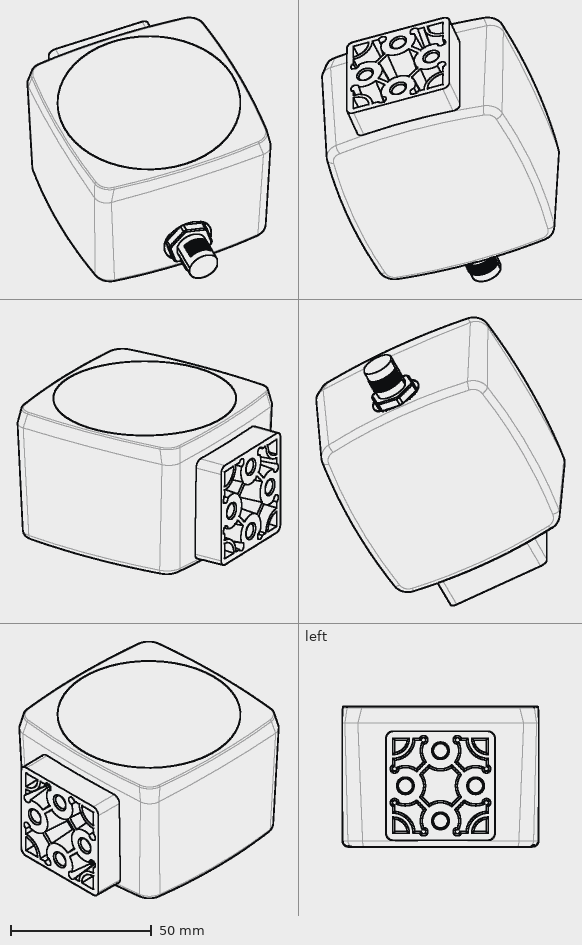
import cadquery as cq
import math

HEIGHT = 50.0
PARTING_Z = 44.1
BASE_LEVEL = (34.9, 2.0, 27.7)
PARTING_LEVEL = (35.0, 0.9, 29.5)
TOP_LEVEL = (34.8, 1.6, 27.95)
BASE_FILLET = 2.3
TOP_FILLET = 0.6

DISC_RADIUS = 32.55
GROOVE_SIZE = 0.1

PAD_FACE_X = -45.0
PAD_SIZE = 38.6
PAD_CORNER_RADIUS = 2.5
PAD_CENTER_Z = 21.8
PAD_ROOT_X = -31.9
PAD_DRAFT = 0.5

POCKET_DEPTH = 10.3
POCKET_DRAFT = 3.9
POCKET_HALF = 16.9
BOLT_OFFSET = 12.5
BOLT_BOSS_RADIUS = 6.5
BOLT_HOLE_RADIUS = 2.5
BOLT_CHAMFER = 0.6
CENTER_HALF = 8.1
DIAGONAL_RIB = 1.5
CORNER_POCKET_RADIUS = 5.8
CORNER_RIB = 1.3
RELIEF_RADIUS = 1.5
RELIEF_ALONG = 6.0
RELIEF_ACROSS = 16.3

CONNECTOR_Z = 12.6
SEAT_X = 34.4
SEAT_RADIUS = 9.1
NUT_END_X = 37.6
NUT_CORNER_RADIUS = 8.4
NUT_ACROSS_FLATS = 15.2
NUT_CHAMFER = 0.5
NUT_TURN = 15.0
PLUG_END_X = 48.8
PLUG_RADIUS = 5.5
PLUG_ACROSS_FLATS = 10.7
ANCHOR_X = 31.9

THREAD_PITCH = 1.0
THREAD_RADIUS = 5.9
THREAD_SINK = 0.4
THREAD_BASE = 0.75
THREAD_CREST = 0.4
THREAD_SEGMENTS = ((90, 43, 40.7, 6), (270, 69, 41.0, 5))


def barrel_outline(z, level):
    """Closed outline of four bowed sides joined by tangent corner arcs."""
    half, sag, end = level
    bow_radius = (end**2 + sag**2) / (2 * sag)
    slope = math.asin(end / bow_radius)
    side = half - sag
    corner_radius = (side - end) / (math.cos(slope) - math.sin(slope))
    corner_center = end - corner_radius * math.sin(slope)
    corner = corner_center + corner_radius * math.sqrt(0.5)
    outline = cq.Workplane("XY", origin=(0, 0, z)).moveTo(-end, -side)
    outline = outline.threePointArc((0, -half), (end, -side))
    outline = outline.threePointArc((corner, -corner), (side, -end))
    outline = outline.threePointArc((half, 0), (side, end))
    outline = outline.threePointArc((corner, corner), (end, side))
    outline = outline.threePointArc((0, half), (-end, side))
    outline = outline.threePointArc((-corner, corner), (-side, end))
    outline = outline.threePointArc((-half, 0), (-side, -end))
    outline = outline.threePointArc((-corner, -corner), (-end, -side)).close()
    return outline.val()


def tapered_shell(lower_z, lower_level, upper_z, upper_level):
    wires = [barrel_outline(lower_z, lower_level), barrel_outline(upper_z, upper_level)]
    return cq.Workplane(obj=cq.Solid.makeLoft(wires, True))


def make_housing():
    lower = tapered_shell(0, BASE_LEVEL, PARTING_Z, PARTING_LEVEL)
    lower = lower.faces("<Z").edges().fillet(BASE_FILLET)
    lid = tapered_shell(PARTING_Z, PARTING_LEVEL, HEIGHT, TOP_LEVEL)
    lid = lid.faces(">Z").edges().fillet(TOP_FILLET)
    groove = (
        cq.Workplane("XY", origin=(0, 0, HEIGHT - GROOVE_SIZE))
        .circle(DISC_RADIUS)
        .circle(DISC_RADIUS - GROOVE_SIZE)
        .extrude(GROOVE_SIZE)
    )
    return lower.union(lid).cut(groove)


def pad_plane():
    """Plane on the pad face: local x is +Y, local y is +Z, extrusion runs along +X."""
    return cq.Workplane("YZ", origin=(PAD_FACE_X, 0, PAD_CENTER_Z))


def drafted_square(half, turn, draft):
    """Square body one pocket deep; a positive draft narrows it towards the pocket floor."""
    square = cq.Sketch().rect(2 * half, 2 * half, angle=turn)
    return pad_plane().placeSketch(square).extrude(POCKET_DEPTH, taper=draft)


def drafted_rounds(points, radius, draft):
    """Round bodies one pocket deep; a positive draft narrows them towards the pocket floor."""
    return pad_plane().pushPoints(points).circle(radius).extrude(POCKET_DEPTH, taper=draft)


def make_pad():
    outline = cq.Sketch().rect(PAD_SIZE, PAD_SIZE).vertices().fillet(PAD_CORNER_RADIUS)
    return pad_plane().placeSketch(outline).extrude(PAD_ROOT_X - PAD_FACE_X, taper=-PAD_DRAFT)


def make_pad_pockets():
    bolts = [(BOLT_OFFSET, 0), (0, BOLT_OFFSET), (-BOLT_OFFSET, 0), (0, -BOLT_OFFSET)]
    signs = [(1, 1), (-1, 1), (-1, -1), (1, -1)]
    corners = [(POCKET_HALF * i, POCKET_HALF * j) for i, j in signs]
    reliefs = [(RELIEF_ALONG * i, RELIEF_ACROSS * j) for i, j in signs]
    reliefs += [(RELIEF_ACROSS * i, RELIEF_ALONG * j) for i, j in signs]

    bosses = drafted_rounds(bolts, BOLT_BOSS_RADIUS, -POCKET_DRAFT)
    bounds = drafted_square(POCKET_HALF, 0, POCKET_DRAFT)
    center_pocket = drafted_square(CENTER_HALF, 45, POCKET_DRAFT).cut(bosses)
    corner_pockets = drafted_rounds(corners, CORNER_POCKET_RADIUS, POCKET_DRAFT).intersect(bounds)
    side_pockets = (
        bounds.cut(drafted_square(CENTER_HALF + DIAGONAL_RIB, 45, -POCKET_DRAFT))
        .cut(bosses)
        .cut(drafted_rounds(corners, CORNER_POCKET_RADIUS + CORNER_RIB, -POCKET_DRAFT))
        .union(drafted_rounds(reliefs, RELIEF_RADIUS, POCKET_DRAFT))
    )
    holes = pad_plane().pushPoints(bolts).circle(BOLT_HOLE_RADIUS).extrude(POCKET_DEPTH)
    countersinks = (
        pad_plane().pushPoints(bolts).circle(BOLT_HOLE_RADIUS + BOLT_CHAMFER)
        .extrude(BOLT_CHAMFER, taper=45)
    )
    return [center_pocket, corner_pockets, side_pockets, holes, countersinks]


def connector_plane(x):
    return cq.Workplane("YZ", origin=(x, 0, CONNECTOR_Z))


def make_nut():
    length = NUT_END_X - ANCHOR_X
    across_corners = NUT_ACROSS_FLATS / math.cos(math.radians(30))
    hexagon = connector_plane(ANCHOR_X).polygon(6, across_corners).extrude(length)
    axis_start = (ANCHOR_X, 0, CONNECTOR_Z)
    axis_end = (NUT_END_X, 0, CONNECTOR_Z)
    hexagon = hexagon.rotate(axis_start, axis_end, -NUT_TURN)
    blank = connector_plane(ANCHOR_X).circle(NUT_CORNER_RADIUS).extrude(length)
    return hexagon.intersect(blank).faces(">X").edges().chamfer(NUT_CHAMFER)


def make_plug():
    length = PLUG_END_X - ANCHOR_X
    flats = connector_plane(ANCHOR_X).rect(PLUG_ACROSS_FLATS, 2 * PLUG_RADIUS).extrude(length)
    return connector_plane(ANCHOR_X).circle(PLUG_RADIUS).extrude(length).intersect(flats)


def make_thread_ridge(x, direction, half_angle):
    """Trapezoidal ridge swept part of the way round the plug axis."""
    root = PLUG_RADIUS - THREAD_SINK
    ridge = (
        cq.Workplane("XY", origin=(x, 0, CONNECTOR_Z))
        .polyline([
            (-THREAD_BASE / 2, root),
            (THREAD_BASE / 2, root),
            (THREAD_CREST / 2, THREAD_RADIUS),
            (-THREAD_CREST / 2, THREAD_RADIUS),
        ])
        .close()
        .revolve(2 * half_angle, (0, 0, 0), (1, 0, 0))
    )
    start = (x, 0, CONNECTOR_Z)
    end = (x + THREAD_BASE, 0, CONNECTOR_Z)
    return ridge.rotate(start, end, direction - half_angle)


result = make_housing().union(make_pad())
for pocket in make_pad_pockets():
    result = result.cut(pocket)

seat_cut = connector_plane(SEAT_X).circle(SEAT_RADIUS).extrude(NUT_END_X - SEAT_X)
result = result.cut(seat_cut).union(make_nut()).union(make_plug())
for direction, half_angle, first_x, count in THREAD_SEGMENTS:
    for index in range(count):
        result = result.union(make_thread_ridge(first_x + index * THREAD_PITCH, direction, half_angle))